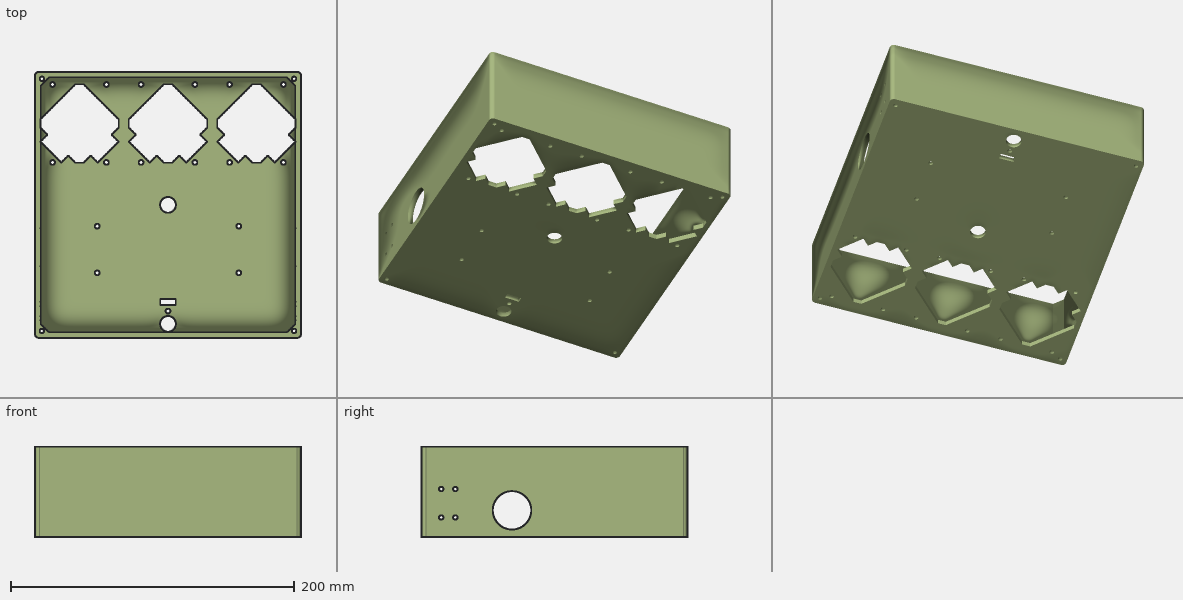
import cadquery as cq

side = 188.0
height = 64.0
wall = 4.0
floor = 4.0
outer_corner_radius = 3.0
inner_side = side - 2 * wall
corner_post_leg = 6.0

screw_diameter = 3.0
floor_screw_diameter = 3.25
lid_screw_offset = 89.0

opening_pitch = 62.5
opening_y = 57.5
opening_side = 43.2
opening_corner_cut = 4.2
tab_projection = 7.0
tab_reach = opening_side / 2 + tab_projection
tab_width = 20.8
opening_turn = 45.0
panel_screw_spacing_x = 38.0
panel_screw_spacing_y = 55.0

cable_hole_diameter = 11.0
front_cable_hole_y = -84.0
tie_screw_y = -75.0
slot_y = -68.5
slot_length = 10.7
slot_width = 4.0

board_screw_spacing_x = 100.0
board_screw_spacing_y = 33.0
board_y = -31.5

side_port_diameter = 27.0
side_port_y = -30.0
side_port_z = 19.0
side_screw_spacing_y = 10.0
side_screw_spacing_z = 20.0
side_screw_y = -75.0
side_screw_z = 24.0


def make_box():
    """Open-topped box with rounded outer corners and solid posts in the inner corners."""
    outer = cq.Workplane("XY").rect(side, side).extrude(height).edges("|Z").fillet(outer_corner_radius)
    cavity = (
        cq.Workplane("XY", origin=(0, 0, floor))
        .rect(inner_side, inner_side)
        .extrude(height - floor)
        .edges("|Z")
        .chamfer(corner_post_leg)
    )
    return outer.cut(cavity)


def floor_plane(x=0.0, y=0.0):
    """Workplane on the underside of the floor, centred at (x, y)."""
    return cq.Workplane("XY", origin=(x, y, 0))


def panel_opening(x):
    """Corner-cut square with a tab on two neighbouring sides, turned so both tabs face -Y."""
    opening = (
        floor_plane()
        .rect(opening_side, opening_side)
        .extrude(floor)
        .edges("|Z")
        .chamfer(opening_corner_cut)
    )
    tab_x = floor_plane(-tab_reach / 2).rect(tab_reach, tab_width).extrude(floor)
    tab_y = floor_plane(0, -tab_reach / 2).rect(tab_width, tab_reach).extrude(floor)
    opening = opening.union(tab_x).union(tab_y)
    return opening.rotate((0, 0, 0), (0, 0, 1), opening_turn).translate((x, opening_y, 0))


def panel_screws(x):
    """Four screw holes around one panel opening."""
    return (
        floor_plane(x, opening_y)
        .rarray(panel_screw_spacing_x, panel_screw_spacing_y, 2, 2)
        .circle(floor_screw_diameter / 2)
        .extrude(floor)
    )


def lid_screws():
    """Screw holes down the whole height of the four corner posts."""
    spacing = 2 * lid_screw_offset
    return floor_plane().rarray(spacing, spacing, 2, 2).circle(screw_diameter / 2).extrude(height)


def centre_line_cuts():
    """Two cable holes, a slot and a screw hole in line along Y."""
    cable_holes = (
        floor_plane()
        .pushPoints([(0, 0), (0, front_cable_hole_y)])
        .circle(cable_hole_diameter / 2)
        .extrude(floor)
    )
    slot = floor_plane(0, slot_y).rect(slot_length, slot_width).extrude(floor)
    tie_screw = floor_plane(0, tie_screw_y).circle(floor_screw_diameter / 2).extrude(floor)
    return cable_holes.union(slot).union(tie_screw)


def board_screws():
    """Four circuit board screw holes."""
    return (
        floor_plane(0, board_y)
        .rarray(board_screw_spacing_x, board_screw_spacing_y, 2, 2)
        .circle(floor_screw_diameter / 2)
        .extrude(floor)
    )


def side_wall_holes():
    """A large port and four screw holes through both walls that face X."""
    port = (
        cq.Workplane("YZ", origin=(-side / 2, side_port_y, side_port_z))
        .circle(side_port_diameter / 2)
        .extrude(side)
    )
    screws = (
        cq.Workplane("YZ", origin=(-side / 2, side_screw_y, side_screw_z))
        .rarray(side_screw_spacing_y, side_screw_spacing_z, 2, 2)
        .circle(screw_diameter / 2)
        .extrude(side)
    )
    return port.union(screws)


result = make_box()
for opening_x in (-opening_pitch, 0.0, opening_pitch):
    result = result.cut(panel_opening(opening_x)).cut(panel_screws(opening_x))
result = result.cut(lid_screws()).cut(centre_line_cuts())
result = result.cut(board_screws()).cut(side_wall_holes())